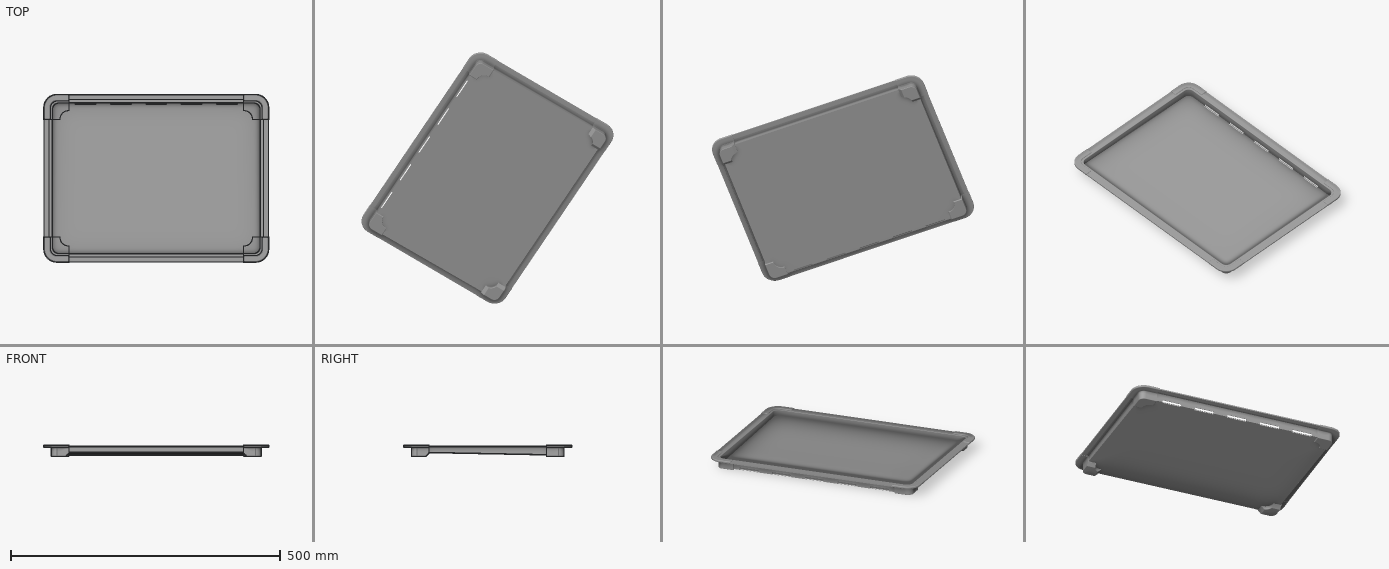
import cadquery as cq
import math

TRAY_LENGTH = 418.0
TRAY_WIDTH = 312.0
TOTAL_HEIGHT = 21.35
OUTER_RADIUS = 25.0

SHEET = 1.0
RIM_TOP = -1.5
RIM_INSET = 0.5
HEM_THICKNESS = 2.3
HEM_WIDTH = 9.0
WALL_INSET = 16.5
WALL_CORNER_RADIUS = 11.0
BEND_RADIUS = 0.9
FLOOR_SLOPE = math.radians(1.11)
FLOOR_MID_UNDERSIDE = -16.5

SLOT_COUNT = 5
SLOT_PITCH = 65.7
SLOT_LENGTH = 38.0
SLOT_FLOOR_WIDTH = 2.0
SLOT_WALL_HEIGHT = 3.5

FOOT_END_X = 162.0
FOOT_END_Y = 108.8
CAP_WIDTH = 12.7
FOOT_INSET = 14.0
FOOT_BASE_WIDTH = 16.5
FOOT_BASE_RADIUS = 15.0
CAP_OVERHANG = 0.6
FOOT_ROUNDING = 0.8
CAP_EDGE_RADIUS = 1.4
FRONT_FOOT_CHAMFER = 6.0
REAR_FOOT_CHAMFER = 1.0

RIM_UNDERSIDE = RIM_TOP - HEM_THICKNESS
CAP_BOTTOM = RIM_UNDERSIDE - CAP_OVERHANG


def rounded_block(inset, bottom, top, radius=None):
    """Block with the plan outline of the tray moved inward by inset."""
    if radius is None:
        radius = OUTER_RADIUS - inset
    block = cq.Workplane("XY").workplane(offset=bottom)
    block = block.rect(TRAY_LENGTH - 2 * inset, TRAY_WIDTH - 2 * inset).extrude(top - bottom)
    return block.edges("|Z").fillet(radius)


def cavity_block(bottom, top):
    """Block that fills the space inside the tray walls."""
    return rounded_block(WALL_INSET, bottom, top, WALL_CORNER_RADIUS)


def frame(outer_inset, inner_inset, bottom, top):
    """Rounded ring between two insets."""
    return rounded_block(outer_inset, bottom, top).cut(rounded_block(inner_inset, bottom, top))


def floor_underside(y):
    """Height of the sloping floor underside; the floor falls toward +Y."""
    return FLOOR_MID_UNDERSIDE - y * math.tan(FLOOR_SLOPE)


def space_above_slope(height):
    """Everything above the floor underside raised by height, up to the top of the tray."""
    half = TRAY_WIDTH / 2
    profile = [
        (-half, floor_underside(-half) + height),
        (half, floor_underside(half) + height),
        (half, 0),
        (-half, 0),
    ]
    return cq.Workplane("YZ").polyline(profile).close().extrude(TRAY_LENGTH / 2, both=True)


def corner_zone():
    """Plan area taken by the foot at the +X, +Y corner, over the full height."""
    size_x = TRAY_LENGTH / 2 - FOOT_END_X
    size_y = TRAY_WIDTH / 2 - FOOT_END_Y
    zone = cq.Workplane("XY").box(size_x, size_y, TOTAL_HEIGHT, centered=False)
    return zone.translate((FOOT_END_X, FOOT_END_Y, -TOTAL_HEIGHT))


def at_corner(shape, side_x, side_y):
    """Mirror a shape from the +X, +Y corner to the corner with the given signs."""
    if side_x < 0:
        shape = shape.mirror("YZ")
    if side_y < 0:
        shape = shape.mirror("XZ")
    return shape


def drain_slots():
    """Slots that open the bend between the floor and the +Y wall."""
    wall_inside = TRAY_WIDTH / 2 - WALL_INSET
    depth = SLOT_FLOOR_WIDTH + SHEET
    height = SLOT_WALL_HEIGHT + SHEET
    centers = [((i - (SLOT_COUNT - 1) / 2) * SLOT_PITCH, 0) for i in range(SLOT_COUNT)]
    slots = cq.Workplane("XY").pushPoints(centers)
    slots = slots.box(SLOT_LENGTH, depth, height, centered=(True, False, False))
    return slots.translate((0, wall_inside - SLOT_FLOOR_WIDTH, floor_underside(wall_inside)))


def pan_block():
    """Outside shape of the walls and the sloping floor, without the cavity."""
    radius = WALL_CORNER_RADIUS + SHEET
    pan = rounded_block(WALL_INSET - SHEET, -TOTAL_HEIGHT, RIM_TOP, radius)
    return pan.intersect(space_above_slope(0))


def pan_cavity():
    """Open space inside the walls and above the floor."""
    return cavity_block(-TOTAL_HEIGHT, RIM_TOP).intersect(space_above_slope(SHEET))


def make_rim():
    """Flat rim with a folded hem around its outer edge."""
    plate = rounded_block(RIM_INSET, RIM_UNDERSIDE, RIM_TOP)
    hem_opening = rounded_block(RIM_INSET + HEM_WIDTH, RIM_UNDERSIDE, RIM_TOP - SHEET)
    return plate.cut(hem_opening)


def make_tray():
    """Sheet tray with a rim, cut open at the corners for the feet."""
    tray = make_rim().union(pan_block()).cut(pan_cavity())
    rim_mouth = cq.selectors.BoxSelector(
        (-TRAY_LENGTH / 2 + CAP_WIDTH, -TRAY_WIDTH / 2 + CAP_WIDTH, RIM_TOP - SHEET / 2),
        (TRAY_LENGTH / 2 - CAP_WIDTH, TRAY_WIDTH / 2 - CAP_WIDTH, RIM_TOP + SHEET / 2),
    )
    tray = tray.edges(rim_mouth).fillet(BEND_RADIUS)

    openings = frame(0, CAP_WIDTH, -TOTAL_HEIGHT, 0)
    below_ledge = rounded_block(CAP_WIDTH, -TOTAL_HEIGHT, RIM_TOP - SHEET)
    openings = openings.union(below_ledge.cut(cavity_block(-TOTAL_HEIGHT, 0)))
    for side_x in (-1, 1):
        for side_y in (-1, 1):
            tray = tray.cut(openings.intersect(at_corner(corner_zone(), side_x, side_y)))
    return tray.cut(drain_slots())


def foot_leg():
    """L-shaped leg of the +X, +Y foot, up to the underside of the rim sheet."""
    inner_x = TRAY_LENGTH / 2 - FOOT_INSET - FOOT_BASE_WIDTH
    inner_y = TRAY_WIDTH / 2 - FOOT_INSET - FOOT_BASE_WIDTH
    inner_block = cq.Workplane("XY").box(2 * inner_x, 2 * inner_y, TOTAL_HEIGHT)
    inner_block = inner_block.edges("|Z").fillet(FOOT_BASE_RADIUS)
    leg = rounded_block(FOOT_INSET, -TOTAL_HEIGHT, RIM_TOP - SHEET).intersect(corner_zone())
    return leg.cut(inner_block.translate((0, 0, -TOTAL_HEIGHT / 2)))


def end_chamfers(size):
    """Wedges that slope the two free ends of the +X, +Y foot up from its bottom."""
    bottom = -TOTAL_HEIGHT
    along_x = [(FOOT_END_X, bottom), (FOOT_END_X + size, bottom), (FOOT_END_X, bottom + size)]
    along_y = [(FOOT_END_Y, bottom), (FOOT_END_Y + size, bottom), (FOOT_END_Y, bottom + size)]
    wedge_x = cq.Workplane("XZ").polyline(along_x).close().extrude(-TRAY_WIDTH / 2)
    wedge_y = cq.Workplane("YZ").polyline(along_y).close().extrude(TRAY_LENGTH / 2)
    return wedge_x.union(wedge_y)


def make_cap():
    """Cap of the +X, +Y foot, with rounded edges; its lower part reaches inward under the rim sheet."""
    cap = rounded_block(0, CAP_BOTTOM, 0).faces("<Z").edges().fillet(CAP_EDGE_RADIUS)
    ledge_opening = rounded_block(CAP_WIDTH, RIM_TOP - SHEET, 0)
    cap = cap.cut(ledge_opening).intersect(corner_zone())
    return cap.faces(">Z").edges().fillet(CAP_EDGE_RADIUS)


def leg_root_edges():
    """Selector for the edges where the outside of the leg meets the underside of the cap."""
    margin = FOOT_ROUNDING / 2
    outer_x = TRAY_LENGTH / 2 - FOOT_INSET
    outer_y = TRAY_WIDTH / 2 - FOOT_INSET
    return cq.selectors.BoxSelector(
        (FOOT_END_X + margin, FOOT_END_Y + margin, CAP_BOTTOM - margin),
        (outer_x + margin, outer_y + margin, CAP_BOTTOM + margin),
    )


def make_foot(side_x, side_y):
    """One foot: a leg that carries the floor, and a cap that closes the corner of the rim."""
    chamfer = FRONT_FOOT_CHAMFER if side_y < 0 else REAR_FOOT_CHAMFER
    foot = foot_leg().cut(end_chamfers(chamfer)).union(make_cap())
    foot = foot.edges(leg_root_edges()).fillet(FOOT_ROUNDING)
    foot = foot.faces("<Z").edges().fillet(FOOT_ROUNDING)
    inside_walls = cavity_block(-TOTAL_HEIGHT, RIM_TOP).intersect(space_above_slope(0))
    return at_corner(foot, side_x, side_y).cut(inside_walls)


tray = make_tray()
feet = [make_foot(side_x, side_y) for side_x in (-1, 1) for side_y in (-1, 1)]

result = cq.Compound.makeCompound([tray.val()] + [foot.val() for foot in feet])